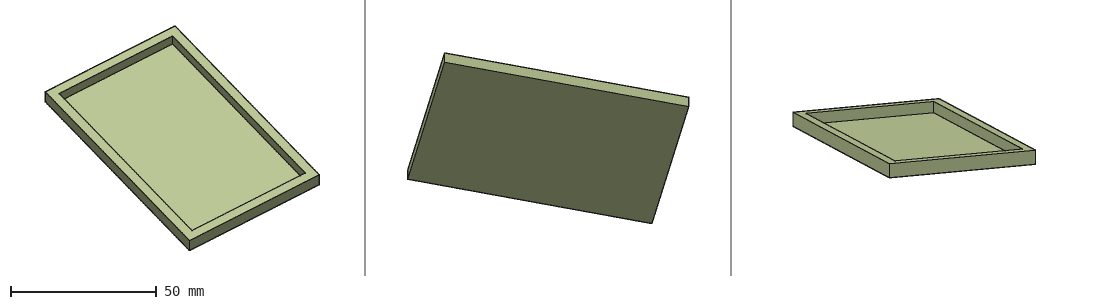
import cadquery as cq

length = 86.2
width = 54.4
height = 5.0

rim_width = 3.45
floor_thickness = 1.0

pocket_length = length - 2 * rim_width
pocket_width = width - 2 * rim_width
pocket_depth = height - floor_thickness

slab = cq.Workplane("XY").box(length, width, height, centered=(True, True, False))

result = slab.faces(">Z").workplane().rect(pocket_length, pocket_width).cutBlind(-pocket_depth)